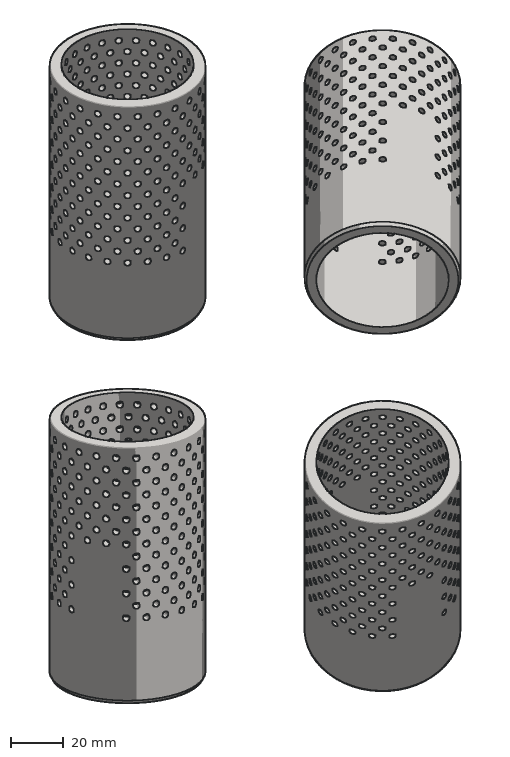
import cadquery as cq

height = 105.0
outer_diameter = 59.0
bore_diameter = 50.0
top_round = 1.0
bottom_chamfer_height = 1.5
bottom_chamfer_inset = 0.8

hole_diameter = 2.5
drill_overrun = 1.0
row_count = 14
row_pitches_in_height = 21
row_pitch = height / row_pitches_in_height
first_row_z = height - row_pitch
holes_per_row = 24
angle_pitch = 360.0 / holes_per_row

full_row_count = 8
window_half_angle = 20.0


def make_sleeve():
    """Plain tube with a rounded top rim and a chamfered bottom rim."""
    body = cq.Workplane("XY").circle(outer_diameter / 2).extrude(height)
    body = body.faces(">Z").edges().fillet(top_round)
    body = body.faces("<Z").edges().chamfer(bottom_chamfer_height, bottom_chamfer_inset)
    bore = cq.Workplane("XY").circle(bore_diameter / 2).extrude(height)
    return body.cut(bore)


def in_window(angle):
    """True if a hole at this angle from +X would open in one of the two windows."""
    half_turn_angle = angle % 180.0
    return min(half_turn_angle, 180.0 - half_turn_angle) < window_half_angle


def make_drill(angle, z):
    """Short radial cylinder through the wall, at an angle from +X."""
    start_radius = bore_diameter / 2 - drill_overrun
    drill_length = outer_diameter / 2 + drill_overrun - start_radius
    drill = cq.Workplane("YZ", origin=(start_radius, 0, z)).circle(hole_diameter / 2).extrude(drill_length)
    return drill.rotate((0, 0, 0), (0, 0, 1), angle).val()


def make_perforation():
    """Drills for every hole in the wall, row by row from the top."""
    drills = []
    for row in range(row_count):
        z = first_row_z - row * row_pitch
        row_turn = angle_pitch / 2 if row % 2 else 0.0
        for index in range(holes_per_row):
            angle = row_turn + index * angle_pitch
            if row >= full_row_count and in_window(angle):
                continue
            drills.append(make_drill(angle, z))
    return drills


result = cq.Workplane(make_sleeve().val().cut(*make_perforation()))